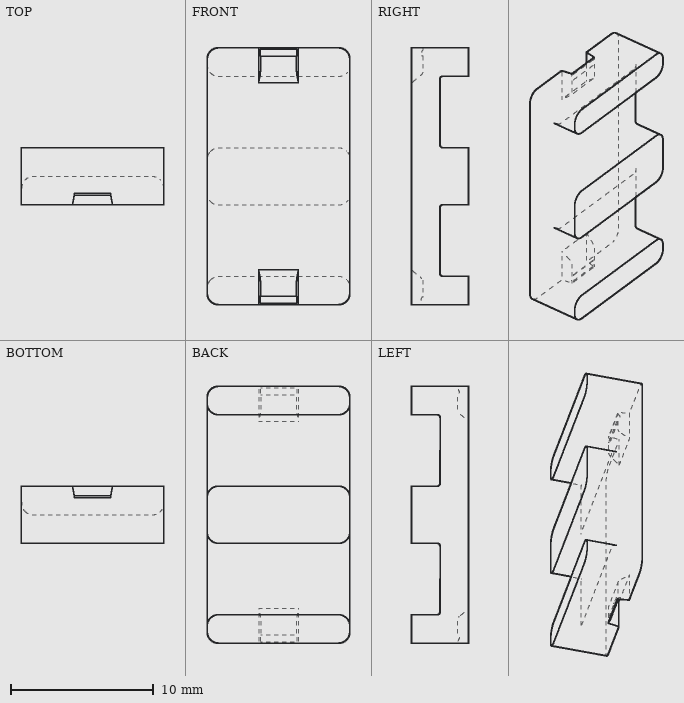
import cadquery as cq
import math

WIDTH = 10.0
THICKNESS = 4.0
HEIGHT = 18.0
CORNER_RADIUS = 0.8

SLOT_HEIGHT = 5.0
SLOT_CENTER_Z = 4.5
SLOT_FLOOR_Y = 0.0
MOUTH_RADIUS = 0.8
MOUTH_DRAFT = math.radians(5)
MOUTH_FLOOR_DROP = 1.2
SLOT_CORNER_RADIUS = 0.2

POCKET_WIDTH = 2.8
POCKET_LENGTH = 2.45
POCKET_DEPTH = 0.8
POCKET_SIDE_DRAFT = math.radians(10)
RAMP_ANGLE = math.radians(40)
RAMP_RADIUS = 0.4

RIDGE_RADIUS = 0.2
RIDGE_HEIGHT = 0.135
RIDGE_INSET = 0.4
RIDGE_SLOPE = math.radians(30)

FRONT_Y = -THICKNESS / 2
BACK_Y = THICKNESS / 2
SIDE_X = WIDTH / 2
OVERCUT = 1.0


def make_block():
    block = cq.Workplane("XY").box(WIDTH, THICKNESS, HEIGHT)
    return block.edges("|Y").fillet(CORNER_RADIUS)


def make_slot_opening():
    """Slot seen along Y: straight walls that round outwards at both sides of the block."""
    half = SLOT_HEIGHT / 2
    wide = half + MOUTH_RADIUS
    straight_x = SIDE_X - MOUTH_RADIUS
    arc = MOUTH_RADIUS * math.sqrt(0.5)
    mid_x = straight_x + arc
    mid_z = wide - arc
    profile = (
        cq.Workplane("XZ", origin=(0, BACK_Y + OVERCUT, 0))
        .moveTo(-straight_x, half)
        .lineTo(straight_x, half)
        .threePointArc((mid_x, mid_z), (SIDE_X, wide))
        .lineTo(SIDE_X, -wide)
        .threePointArc((mid_x, -mid_z), (straight_x, -half))
        .lineTo(-straight_x, -half)
        .threePointArc((-mid_x, -mid_z), (-SIDE_X, -wide))
        .lineTo(-SIDE_X, wide)
        .threePointArc((-mid_x, mid_z), (-straight_x, half))
        .close()
    )
    return profile.extrude(THICKNESS + 2 * OVERCUT)


def make_slot_floor():
    """Space above the slot floor seen along Z: the floor rounds into a drafted strip at each side."""
    top_y = BACK_Y + OVERCUT
    bottom_y = SLOT_FLOOR_Y - MOUTH_FLOOR_DROP
    arc_center_y = SLOT_FLOOR_Y - MOUTH_RADIUS
    tangent_y = arc_center_y + MOUTH_RADIUS * math.sin(MOUTH_DRAFT)
    tangent_x = SIDE_X - (tangent_y - bottom_y) * math.tan(MOUTH_DRAFT)
    arc_center_x = tangent_x - MOUTH_RADIUS * math.cos(MOUTH_DRAFT)
    mid_angle = (math.pi / 2 + MOUTH_DRAFT) / 2
    mid_x = arc_center_x + MOUTH_RADIUS * math.cos(mid_angle)
    mid_y = arc_center_y + MOUTH_RADIUS * math.sin(mid_angle)
    profile = (
        cq.Workplane("XY")
        .moveTo(-arc_center_x, SLOT_FLOOR_Y)
        .lineTo(arc_center_x, SLOT_FLOOR_Y)
        .threePointArc((mid_x, mid_y), (tangent_x, tangent_y))
        .lineTo(SIDE_X, bottom_y)
        .lineTo(SIDE_X, top_y)
        .lineTo(-SIDE_X, top_y)
        .lineTo(-SIDE_X, bottom_y)
        .lineTo(-tangent_x, tangent_y)
        .threePointArc((-mid_x, mid_y), (-arc_center_x, SLOT_FLOOR_Y))
        .close()
    )
    return profile.extrude(SLOT_HEIGHT / 2 + MOUTH_RADIUS + OVERCUT, both=True)


def make_slot():
    slot = make_slot_opening().intersect(make_slot_floor())
    for wall_z in (SLOT_HEIGHT / 2, -SLOT_HEIGHT / 2):
        corner = cq.selectors.NearestToPointSelector((0, SLOT_FLOOR_Y, wall_z))
        slot = slot.edges(corner).fillet(SLOT_CORNER_RADIUS)
    return slot


def make_pocket_section():
    """Pocket seen along X: ramp, rounded floor corner, flat floor and a retaining ridge near the top end."""
    end_z = HEIGHT / 2
    floor_y = FRONT_Y + POCKET_DEPTH

    ramp_start_z = end_z - POCKET_LENGTH
    ramp_foot_z = ramp_start_z + POCKET_DEPTH * math.tan(RAMP_ANGLE)
    round_angle = (math.pi / 2 - RAMP_ANGLE) / 2
    setback = RAMP_RADIUS * math.tan(round_angle)
    ramp_end = (
        floor_y - setback * math.cos(RAMP_ANGLE),
        ramp_foot_z - setback * math.sin(RAMP_ANGLE),
    )
    round_center_y = floor_y - RAMP_RADIUS
    round_center_z = ramp_foot_z + setback
    round_mid = (
        round_center_y + RAMP_RADIUS * math.cos(round_angle),
        round_center_z - RAMP_RADIUS * math.sin(round_angle),
    )

    ridge_z = end_z - RIDGE_INSET
    crest_y = floor_y - RIDGE_HEIGHT
    ridge_axis_y = crest_y + RIDGE_RADIUS
    ridge_half_chord = math.sqrt(RIDGE_RADIUS**2 - (ridge_axis_y - floor_y) ** 2)
    slope_start_y = ridge_axis_y - RIDGE_RADIUS * math.cos(RIDGE_SLOPE)
    slope_start_z = ridge_z + RIDGE_RADIUS * math.sin(RIDGE_SLOPE)
    slope_end_z = slope_start_z + (floor_y - slope_start_y) / math.tan(RIDGE_SLOPE)

    profile = (
        cq.Workplane("YZ")
        .moveTo(FRONT_Y, ramp_start_z)
        .lineTo(*ramp_end)
        .threePointArc(round_mid, (floor_y, round_center_z))
        .lineTo(floor_y, ridge_z - ridge_half_chord)
        .threePointArc((crest_y, ridge_z), (slope_start_y, slope_start_z))
        .lineTo(floor_y, slope_end_z)
        .lineTo(floor_y, end_z)
        .lineTo(FRONT_Y, end_z)
        .close()
    )
    return profile.extrude(POCKET_WIDTH, both=True)


def make_pocket_sides():
    """Pocket seen along Z: the side walls draw in with depth."""
    mouth_half = POCKET_WIDTH / 2
    floor_half = mouth_half - POCKET_DEPTH * math.tan(POCKET_SIDE_DRAFT)
    floor_y = FRONT_Y + POCKET_DEPTH
    profile = cq.Workplane("XY").polyline(
        [(-mouth_half, FRONT_Y), (mouth_half, FRONT_Y), (floor_half, floor_y), (-floor_half, floor_y)]
    )
    return profile.close().extrude(HEIGHT)


def make_pocket():
    return make_pocket_section().intersect(make_pocket_sides())


result = make_block()
slot = make_slot()
for slot_z in (SLOT_CENTER_Z, -SLOT_CENTER_Z):
    result = result.cut(slot.translate((0, 0, slot_z)))

top_pocket = make_pocket()
result = result.cut(top_pocket).cut(top_pocket.mirror("XY"))